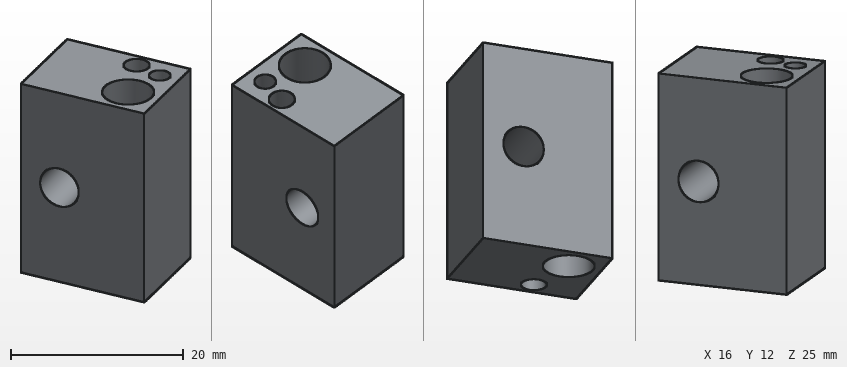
import cadquery as cq
import math

length = 16.0
width = 12.0
height = 25.0

cross_diameter = 5.0
cross_x = 5.0
cross_z = height / 2

large_diameter = 6.02
large_center = (12.0, 3.8)
small_diameter = 3.02
small_center = (10.0, 10.0)

blind_diameter = 2.5
blind_center = (13.5, 9.0)
blind_depth = 10.0
drill_point_angle = 118.0


def vertical_hole(diameter, center):
    """Cylinder that cuts the block from bottom to top."""
    return cq.Workplane("XY").center(*center).circle(diameter / 2).extrude(height)


def cross_hole():
    """Cylinder that cuts the block from front to back."""
    return (
        cq.Workplane("XZ")
        .center(cross_x, cross_z)
        .circle(cross_diameter / 2)
        .extrude(-width)
    )


def drilled_hole():
    """Straight bore from the top face, ending in a drill point."""
    radius = blind_diameter / 2
    shoulder_z = height - blind_depth
    tip_z = shoulder_z - radius / math.tan(math.radians(drill_point_angle / 2))
    half_profile = [(0, tip_z), (radius, shoulder_z), (radius, height), (0, height)]
    return (
        cq.Workplane("XZ")
        .polyline(half_profile)
        .close()
        .revolve(360, (0, 0), (0, 1))
        .translate((*blind_center, 0))
    )


block = cq.Workplane("XY").box(length, width, height, centered=False)
result = (
    block.cut(cross_hole())
    .cut(vertical_hole(large_diameter, large_center))
    .cut(vertical_hole(small_diameter, small_center))
    .cut(drilled_hole())
)